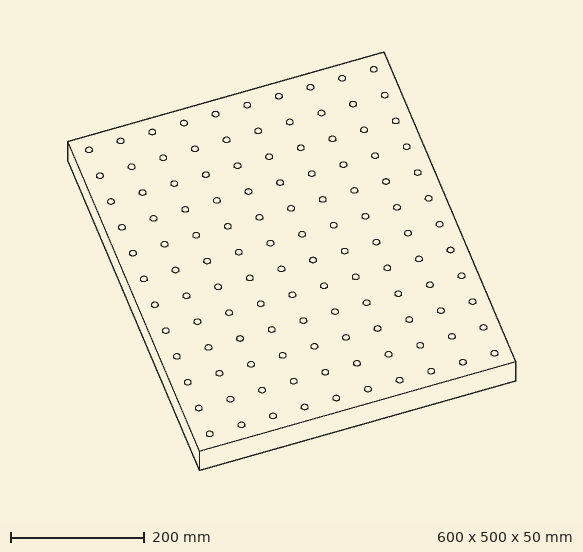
import cadquery as cq

columns = 12
rows = 10
hole_diameter = 10.0

length = 600.0
pitch = length / columns
width = rows * pitch
thickness = pitch


def make_plate():
    """Rectangular plate centred on the origin."""
    return cq.Workplane("XY").box(length, width, thickness)


def drill_hole_grid(plate):
    """Through holes on a centred grid, half a pitch from each edge."""
    return (
        plate.faces(">Z")
        .workplane()
        .rarray(pitch, pitch, columns, rows)
        .hole(hole_diameter)
    )


result = drill_hole_grid(make_plate())